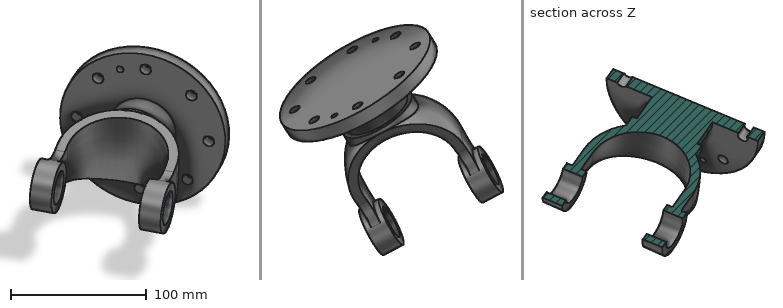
import cadquery as cq
import math

TILT = 2.5

flange_diameter = 126.9
flange_thickness = 10.6
bolt_circle_radius = 50.7
bolt_count = 8
bolt_hole_diameter = 8.3
pin_hole_diameter = 5.1

neck_diameter = 51.1
collar_diameter = 58.6
collar_start = 33.6

total_length = 133.9
ear_radius = 19.1
ear_bore_diameter = 25.5
ear_width = 16.6
ear_inner_gap = 67.2
ear_distance = total_length - ear_radius

fork_outer_radius = 45.6
fork_wall = 7.6
fork_inner_radius = fork_outer_radius - fork_wall
bend_distance = 78.0
cross_axis_distance = 133.5
taper_angle = math.radians(17.7)
waist_half_height = 12.9
waist_distance = ear_distance - 22.2


def cylinder(diameter, start, end):
    """Cylinder on the Y axis between two distances from the flange's back face."""
    return cq.Workplane("XZ").workplane(offset=start).circle(diameter / 2).extrude(end - start)


def drum(radius):
    """Round-rimmed drum about the cross axis, with flat sides at X = +/- radius."""
    return (
        cq.Workplane("XY")
        .moveTo(-radius, -cross_axis_distance)
        .lineTo(-radius, -bend_distance)
        .threePointArc((0, radius - bend_distance), (radius, -bend_distance))
        .lineTo(radius, -cross_axis_distance)
        .close()
        .revolve(360, (0, -cross_axis_distance), (1, -cross_axis_distance))
    )


def fork_side_profile():
    """Tapered outline in YZ, narrowing to a waist that blends tangentially into the ears."""
    waist_to_ear = ear_distance - waist_distance
    blend_radius = (waist_to_ear**2 + waist_half_height**2 - ear_radius**2) / (
        2 * (ear_radius - waist_half_height)
    )
    blend_height = waist_half_height + blend_radius
    to_ear = blend_radius / (blend_radius + ear_radius)

    taper_end_y = -waist_distance + blend_radius * math.sin(taper_angle)
    taper_end_z = blend_height - blend_radius * math.cos(taper_angle)
    blend_end_y = -waist_distance - waist_to_ear * to_ear
    blend_end_z = blend_height * (1 - to_ear)
    base_y = -collar_start + flange_thickness / 2
    base_z = taper_end_z + (base_y - taper_end_y) * math.tan(taper_angle)

    return (
        cq.Workplane("YZ")
        .moveTo(base_y, base_z)
        .lineTo(taper_end_y, taper_end_z)
        .threePointArc((-waist_distance, waist_half_height), (blend_end_y, blend_end_z))
        .lineTo(-ear_distance, 0)
        .lineTo(blend_end_y, -blend_end_z)
        .threePointArc((-waist_distance, -waist_half_height), (taper_end_y, -taper_end_z))
        .lineTo(base_y, -base_z)
        .close()
    )


def ear_cylinders(diameter):
    """Pair of cylinders parallel to X, one across the width of each ear."""
    pair = cq.Workplane("YZ")
    for start in (ear_inner_gap / 2, -ear_inner_gap / 2 - ear_width):
        ear = (
            cq.Workplane("YZ")
            .workplane(offset=start)
            .center(-ear_distance, 0)
            .circle(diameter / 2)
            .extrude(ear_width)
        )
        pair = pair.add(ear)
    return pair.combine()


def flange_holes():
    """Ring of bolt holes, plus two opposite pin holes midway between bolts."""
    bolts = (
        cq.Workplane("XZ")
        .polarArray(bolt_circle_radius, 0, 360, bolt_count)
        .circle(bolt_hole_diameter / 2)
        .extrude(flange_thickness)
    )
    pin_angle = 90 + 180 / bolt_count
    pins = (
        cq.Workplane("XZ")
        .polarArray(bolt_circle_radius, pin_angle, 360, 2)
        .circle(pin_hole_diameter / 2)
        .extrude(flange_thickness)
    )
    return bolts.union(pins)


outer_drum = drum(fork_outer_radius)
inner_drum = drum(fork_inner_radius)

flange = cylinder(flange_diameter, 0, flange_thickness).cut(flange_holes())
neck = cylinder(neck_diameter, flange_thickness, collar_start)
collar = cylinder(collar_diameter, collar_start, bend_distance).cut(outer_drum)

side_block = fork_side_profile().extrude(fork_outer_radius + fork_wall, both=True)
fork = outer_drum.intersect(side_block).cut(inner_drum)

yoke = flange.union(neck).union(collar).union(fork)
yoke = yoke.union(ear_cylinders(2 * ear_radius)).cut(ear_cylinders(ear_bore_diameter))

result = yoke.rotate((0, 0, 0), (0, 1, 0), TILT)